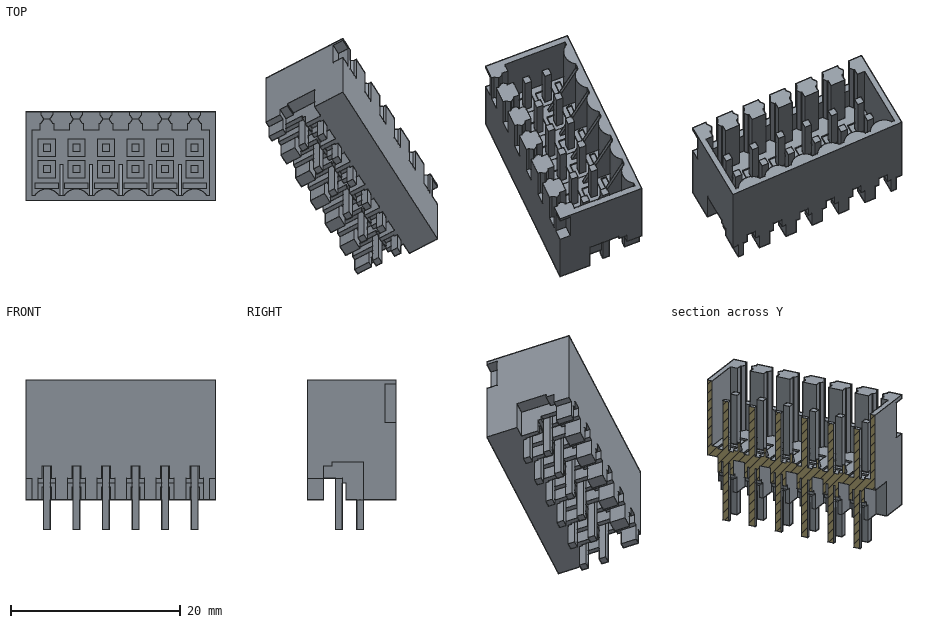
import cadquery as cq

length = 22.4
depth = 10.5
height = 14.2
columns = 6
pitch = 3.5
half_length = length / 2
column_places = [(i - (columns - 1) / 2) * pitch for i in range(columns)]
divider_places = [(i - (columns - 2) / 2) * pitch for i in range(columns - 1)]

side_wall = 0.7
front_wall = 0.6
back_wall = 2.15
floor_top = 5.82
scallop_width = 2.82
scallop_rise = 0.78

gap_back_half = 0.72
gap_neck_half = 0.4
gap_shoulder_half = 0.7
gap_mouth_half = 0.83
gap_straight = 0.34
gap_neck_in = 0.87
gap_neck_flat = 0.15
gap_shoulder_in = 1.37

notch_in = 1.32
notch_side_depth = 1.25
notch_top = height - 0.52
notch_floor = height - 5.02

pin_recess_size = 2.04
key_recess_width = 2.75
key_recess_y = 1.77
key_recess_length = 0.63
recess_depth = 0.22

rib_thickness = 0.35
rib_end_y = 4.25
rib_top = 13.66

pin_size = 0.83
front_row_y = 3.72
row_spacing = 2.53
pin_top = height - 2.26
pin_reach = 3.5
row_places = [front_row_y, front_row_y + row_spacing]
pin_back_y = front_row_y + pin_size / 2

foot_width = 1.4
foot_length = 1.93
foot_height = 2.55
block_width = pitch - foot_width
block_front_y = 4.57
block_step_z = 2.0
void_back_y = 6.65
void_step_y = 2.93
void_low_top = 3.99
void_top = 4.48
pin_slot_width = 1.1
block_slot_top = 1.55


def box(x_range, y_range, z_range):
    """Box spanning the given (low, high) ranges."""
    sizes = [high - low for low, high in (x_range, y_range, z_range)]
    return cq.Workplane("XY").box(*sizes, centered=False).translate((x_range[0], y_range[0], z_range[0]))


def box_about(x, width, y_range, z_range):
    """Box of the given width centred on x."""
    return box((x - width / 2, x + width / 2), y_range, z_range)


def cavity():
    """Plug cavity with a convex scallop left on the front wall at every column."""
    inner_half = half_length - side_wall
    outline = cq.Workplane("XY").workplane(offset=floor_top).moveTo(-inner_half, front_wall)
    for x in column_places:
        outline = outline.lineTo(x - scallop_width / 2, front_wall)
        outline = outline.threePointArc((x, front_wall + scallop_rise), (x + scallop_width / 2, front_wall))
    outline = outline.lineTo(inner_half, front_wall)
    outline = outline.lineTo(inner_half, depth - back_wall)
    outline = outline.lineTo(-inner_half, depth - back_wall)
    return outline.close().extrude(height - floor_top)


def prism_between_halves(x, profile, bottom):
    """Upright prism symmetric about x, from (half width, distance in from the back face) pairs."""
    right = [(x + half, depth - inward) for half, inward in profile]
    left = [(x - half, depth - inward) for half, inward in reversed(profile)]
    return cq.Workplane("XY").workplane(offset=bottom).polyline(right + left).close().extrude(height - bottom)


def rail_gap(x):
    """Gap between two rails: shallow behind the neck, as deep as the cavity in front of it."""
    behind_neck = [
        (gap_back_half, 0),
        (gap_back_half, gap_straight),
        (gap_neck_half, gap_neck_in - gap_neck_flat / 2),
        (gap_neck_half, gap_neck_in),
    ]
    before_neck = [
        (gap_neck_half, gap_neck_in),
        (gap_neck_half, gap_neck_in + gap_neck_flat / 2),
        (gap_shoulder_half, gap_shoulder_in),
        (gap_mouth_half, gap_shoulder_in),
        (gap_mouth_half, back_wall),
    ]
    deep = prism_between_halves(x, before_neck, floor_top)
    return prism_between_halves(x, behind_neck, notch_floor).union(deep)


def rib(x):
    """Triangular rib sloping from the front wall down to the cavity floor."""
    profile = [(front_wall, floor_top), (rib_end_y, floor_top), (front_wall, rib_top)]
    plate = cq.Workplane("YZ").polyline(profile).close().extrude(rib_thickness)
    return plate.translate((x - rib_thickness / 2, 0, 0))


def underside_void(x_range):
    """Stepped pocket between the feet and the back of the housing."""
    low = box(x_range, (foot_length, void_back_y), (0, void_low_top))
    return low.union(box(x_range, (void_step_y, void_back_y), (0, void_top)))


def column_underside(x):
    """Clearances around the pins of one column, between two feet."""
    cut = box_about(x, block_width, (0, pin_back_y), (0, foot_height))
    cut = cut.union(box_about(x, block_width, (0, block_front_y), (0, block_step_z)))
    cut = cut.union(box_about(x, pin_slot_width, (0, pin_back_y), (0, void_low_top)))
    return cut.union(box_about(x, pin_slot_width, (0, row_places[1]), (0, block_slot_top)))


housing = box_about(0, length, (0, depth), (0, height)).cut(cavity())

for x in column_places:
    housing = housing.cut(rail_gap(x))
notch_place = half_length - notch_side_depth
for x_range in ((-half_length, -notch_place), (notch_place, half_length)):
    housing = housing.cut(box(x_range, (depth - notch_in, depth), (notch_floor, notch_top)))

recess_z = (floor_top - recess_depth, floor_top)
for x in column_places:
    for y in row_places:
        y_range = (y - pin_recess_size / 2, y + pin_recess_size / 2)
        housing = housing.cut(box_about(x, pin_recess_size, y_range, recess_z))
    key_range = (key_recess_y - key_recess_length / 2, key_recess_y + key_recess_length / 2)
    housing = housing.cut(box_about(x, key_recess_width, key_range, recess_z))

for x in divider_places:
    housing = housing.union(rib(x))

for x in column_places:
    housing = housing.cut(column_underside(x))
for x in divider_places:
    housing = housing.cut(underside_void((x - foot_width / 2, x + foot_width / 2)))
end_void_start = column_places[-1] + block_width / 2
end_foot_face = end_void_start + foot_width / 2
for x_range in ((-half_length, -end_void_start), (end_void_start, half_length)):
    housing = housing.cut(underside_void(x_range))
for x_range in ((-half_length, -end_foot_face), (end_foot_face, half_length)):
    housing = housing.cut(box(x_range, (0, foot_length), (0, foot_height)))

result = housing
for x in column_places:
    for y in row_places:
        y_range = (y - pin_size / 2, y + pin_size / 2)
        result = result.union(box_about(x, pin_size, y_range, (-pin_reach, pin_top)))